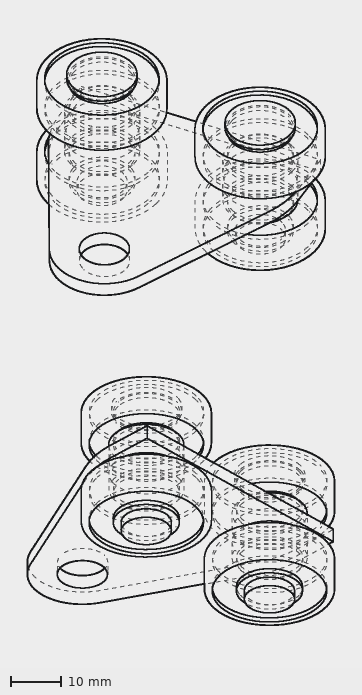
import cadquery as cq
import math

wheel_diameter = 26.0
wheel_width = 8.0
wheel_spacing = 35.0
wheel_edge_fillet = 0.5
recess_diameter = 22.8
recess_depth = 1.0
hub_diameter = 13.2

spacer_diameter = 15.0
spacer_length = 3.7
head_diameter = 14.0
head_thickness = 1.15
pin_diameter = 10.0
pin_length = 2.0

plate_thickness = 3.0
plate_half_width = 26.5
plate_back = 9.0
eye_distance = 35.0
eye_diameter = 10.0
eye_end_radius = 11.0
shoulder_radius = 20.0
shoulder_y = -1.3

plate_top = plate_thickness / 2
upper_wheel_bottom = plate_top + spacer_length
upper_wheel_top = upper_wheel_bottom + wheel_width
lower_wheel_top = -upper_wheel_bottom
lower_wheel_bottom = -upper_wheel_top


def cylinder(diameter, bottom, top):
    return cq.Workplane("XY").workplane(offset=bottom).circle(diameter / 2).extrude(top - bottom)


def make_plate():
    shoulder_x = plate_half_width - shoulder_radius
    center_rise = shoulder_y + eye_distance
    center_gap = math.hypot(shoulder_x, center_rise)
    radius_difference = shoulder_radius - eye_end_radius
    edge_angle = math.atan2(shoulder_x, center_rise) + math.asin(radius_difference / center_gap)

    def arc_point(center_x, center_y, radius, angle):
        return (center_x + radius * math.cos(angle), center_y - radius * math.sin(angle))

    shoulder_middle = arc_point(shoulder_x, shoulder_y, shoulder_radius, edge_angle / 2)
    shoulder_end = arc_point(shoulder_x, shoulder_y, shoulder_radius, edge_angle)
    eye_start = arc_point(0, -eye_distance, eye_end_radius, edge_angle)

    def mirrored(point):
        return (-point[0], point[1])

    outline = (
        cq.Workplane("XY")
        .workplane(offset=-plate_top)
        .moveTo(-plate_half_width, plate_back)
        .lineTo(plate_half_width, plate_back)
        .lineTo(plate_half_width, shoulder_y)
        .threePointArc(shoulder_middle, shoulder_end)
        .lineTo(*eye_start)
        .threePointArc((0, -eye_distance - eye_end_radius), mirrored(eye_start))
        .lineTo(*mirrored(shoulder_end))
        .threePointArc(mirrored(shoulder_middle), (-plate_half_width, shoulder_y))
        .close()
    )
    eye = cylinder(eye_diameter, -plate_top, plate_top).translate((0, -eye_distance, 0))
    return outline.extrude(plate_thickness).cut(eye)


def make_wheel(bottom):
    top = bottom + wheel_width
    wheel = cylinder(wheel_diameter, bottom, top).edges().fillet(wheel_edge_fillet)
    lower_recess = cylinder(recess_diameter, bottom, bottom + recess_depth)
    upper_recess = cylinder(recess_diameter, top - recess_depth, top)
    hub = cylinder(hub_diameter, bottom, top)
    return wheel.cut(lower_recess).cut(upper_recess).union(hub)


def make_axle():
    pin = cylinder(pin_diameter, lower_wheel_bottom - pin_length, upper_wheel_top)
    spacer = cylinder(spacer_diameter, lower_wheel_top, upper_wheel_bottom)
    head = cylinder(head_diameter, upper_wheel_top, upper_wheel_top + head_thickness)
    return pin.union(spacer).union(head)


wheel_set = make_axle().union(make_wheel(upper_wheel_bottom)).union(make_wheel(lower_wheel_bottom))

result = make_plate()
for side in (-1, 1):
    result = result.union(wheel_set.translate((side * wheel_spacing / 2, 0, 0)))